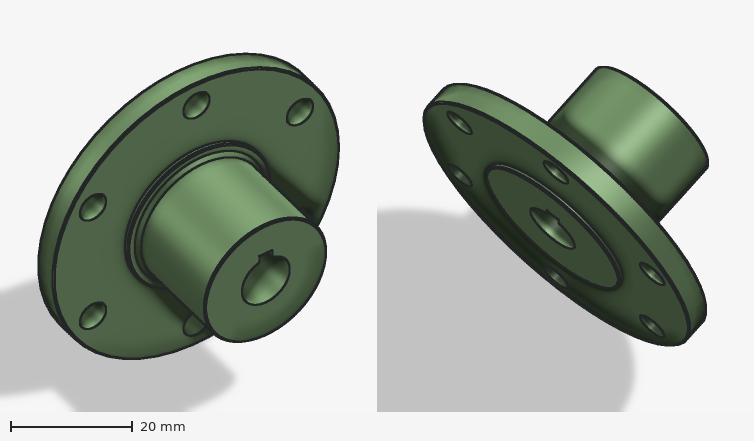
import cadquery as cq

total_length = 25.4
pilot_height = 0.87
flange_thickness = 4.572
shoulder_end = 6.35

flange_diameter = 57.15
pilot_diameter = 28.575
shoulder_diameter = pilot_diameter
hub_diameter = 24.384
bore_diameter = 9.525

bolt_hole_count = 6
bolt_hole_diameter = 5.2
bolt_circle_diameter = 47.625

keyway_width = 2.55
keyway_top = 6.0

edge_chamfer = 0.254
hub_root_chamfer = 0.762


def disc(start, length, diameter):
    """Solid cylinder along +X, starting at the given X position."""
    return cq.Workplane("YZ", origin=(start, 0, 0)).circle(diameter / 2).extrude(length)


def make_body():
    """Pilot, flange, shoulder and hub as one revolved profile, with all outer edges broken."""
    flange_end = pilot_height + flange_thickness
    flange_radius = flange_diameter / 2
    pilot_radius = pilot_diameter / 2
    shoulder_radius = shoulder_diameter / 2
    hub_radius = hub_diameter / 2
    profile = (
        cq.Workplane("XY")
        .lineTo(0, pilot_radius - edge_chamfer)
        .lineTo(edge_chamfer, pilot_radius)
        .lineTo(pilot_height, pilot_radius)
        .lineTo(pilot_height, flange_radius - edge_chamfer)
        .lineTo(pilot_height + edge_chamfer, flange_radius)
        .lineTo(flange_end - edge_chamfer, flange_radius)
        .lineTo(flange_end, flange_radius - edge_chamfer)
        .lineTo(flange_end, shoulder_radius)
        .lineTo(shoulder_end - edge_chamfer, shoulder_radius)
        .lineTo(shoulder_end, shoulder_radius - edge_chamfer)
        .lineTo(shoulder_end, hub_radius + hub_root_chamfer)
        .lineTo(shoulder_end + hub_root_chamfer, hub_radius)
        .lineTo(total_length - edge_chamfer, hub_radius)
        .lineTo(total_length, hub_radius - edge_chamfer)
        .lineTo(total_length, 0)
        .close()
    )
    return profile.revolve(360, (0, 0, 0), (1, 0, 0))


def make_keyed_bore():
    """Through bore with a keyway on its +Z side."""
    keyway = cq.Workplane("XY").box(total_length, keyway_width, keyway_top, centered=(False, True, False))
    return disc(0, total_length, bore_diameter).union(keyway)


def make_bolt_holes():
    """Ring of through holes in the flange, the first one on +Z."""
    first_hole = disc(pilot_height, flange_thickness, bolt_hole_diameter)
    first_hole = first_hole.translate((0, 0, bolt_circle_diameter / 2))
    holes = cq.Workplane("YZ")
    for index in range(bolt_hole_count):
        holes = holes.add(first_hole.rotate((0, 0, 0), (1, 0, 0), index * 360 / bolt_hole_count))
    return holes.combine()


result = make_body().cut(make_keyed_bore()).cut(make_bolt_holes())